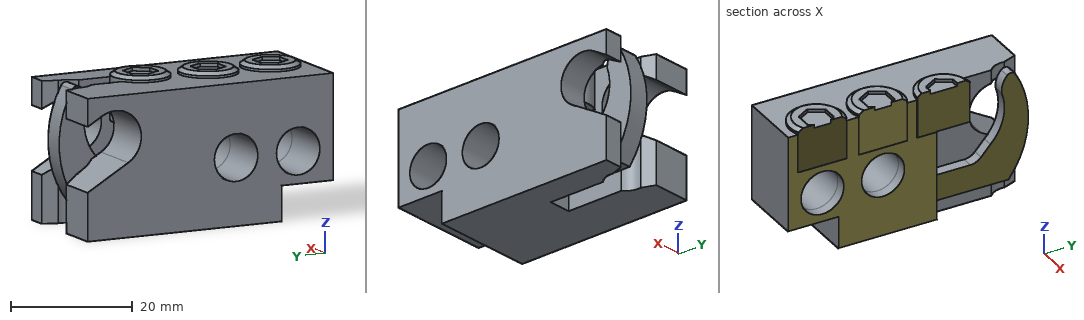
import cadquery as cq
import math


BLOCK_WIDTH = 20.0
BLOCK_LENGTH = 45.45
BLOCK_HEIGHT = 24.0
STEP_LENGTH = 9.5
STEP_HEIGHT = 6.0

FIRST_STATION_Y = 6.5
STATION_PITCH = 11.47
CABLE_BORE_RADIUS = 4.0
CABLE_BORE_Z = 11.5

ROD_RADIUS = 4.8
ROD_Y = 40.3
ROD_Z = 16.7
ROD_SLOT_TILT = 30

JAW_X = 2.0
JAW_SLOT_WIDTH = 4.45
JAW_SLOT_END_Y = 28.25
RELIEF_RADIUS = 3.5
RELIEF_Y = 42.45
MOUTH_WIDTH = 8.85
MOUTH_NECK_Y = 42.9

JAW_WIDTH = 4.0
JAW_BACK_RADIUS = 17.55
JAW_BACK_Y = 45.55
JAW_BACK_Z = 14.52
TIP_RADIUS = 1.0
TIP_Y = 42.2
TIP_EDGE_ANGLE = 42
NOSE_Y = 40.4
NOSE_Z = 20.63
NOSE_BULGE = 0.35
GRIP_RADIUS = 9.9
GRIP_CENTRE_Y = 31.0
GRIP_CENTRE_Z = 18.1
GRIP_END_ANGLE = 42.6
RAMP_LENGTH = 2.6
RAMP_FILLET_RADIUS = 2.8
ARM_BOTTOM_Z = 3.65

SCREW_RADIUS = 5.0
SCREW_LENGTH = 8.2
SCREW_PROTRUSION = 1.0
SCREW_BEVEL_WIDTH = 0.8
SCREW_BEVEL_HEIGHT = 0.6
HEX_ACROSS_FLATS = 5.0
HEX_DEPTH = 0.6

cable_bore_ys = [FIRST_STATION_Y + i * STATION_PITCH for i in range(2)]
jaw_screw_y = FIRST_STATION_Y + 2 * STATION_PITCH
screw_places = [(0, y) for y in cable_bore_ys] + [(JAW_X, jaw_screw_y)]
screw_bottom_z = BLOCK_HEIGHT + SCREW_PROTRUSION - SCREW_LENGTH


def polar(centre, radius, degrees):
    """Point at an angle on a circle, measured from the first axis."""
    angle = math.radians(degrees)
    return centre[0] + radius * math.cos(angle), centre[1] + radius * math.sin(angle)


def cross_profile(offset=0):
    """Sketch plane whose axes are Y and Z, moved along X."""
    return cq.Workplane("YZ", origin=(offset, 0, 0))


def make_block_body():
    """Plain block with a step under one end."""
    return (
        cross_profile()
        .moveTo(0, STEP_HEIGHT)
        .lineTo(STEP_LENGTH, STEP_HEIGHT)
        .lineTo(STEP_LENGTH, 0)
        .lineTo(BLOCK_LENGTH, 0)
        .lineTo(BLOCK_LENGTH, BLOCK_HEIGHT)
        .lineTo(0, BLOCK_HEIGHT)
        .close()
        .extrude(BLOCK_WIDTH / 2, both=True)
    )


def make_cable_bores():
    places = [(y, CABLE_BORE_Z) for y in cable_bore_ys]
    return cross_profile().pushPoints(places).circle(CABLE_BORE_RADIUS).extrude(BLOCK_WIDTH, both=True)


def make_rod_slot():
    """Round-ended slot that runs through the width and out of the +Y face."""
    reach = 2 * (BLOCK_LENGTH - ROD_Y)
    return (
        cross_profile()
        .moveTo(0, ROD_RADIUS)
        .lineTo(reach, ROD_RADIUS)
        .lineTo(reach, -ROD_RADIUS)
        .lineTo(0, -ROD_RADIUS)
        .threePointArc((-ROD_RADIUS, 0), (0, ROD_RADIUS))
        .close()
        .extrude(BLOCK_WIDTH, both=True)
        .rotate((0, 0, 0), (1, 0, 0), -ROD_SLOT_TILT)
        .translate((0, ROD_Y, ROD_Z))
    )


def make_jaw_slot():
    """Narrow slot through the height, with a round relief and a flared mouth."""
    plan = cq.Workplane("XY", origin=(JAW_X, 0, 0))
    slot_length = BLOCK_LENGTH - JAW_SLOT_END_Y
    slot_middle_y = JAW_SLOT_END_Y + slot_length / 2
    slot = plan.center(0, slot_middle_y).rect(JAW_SLOT_WIDTH, slot_length).extrude(BLOCK_HEIGHT)
    relief = plan.center(0, RELIEF_Y).circle(RELIEF_RADIUS).extrude(BLOCK_HEIGHT)
    neck_half_width = math.sqrt(RELIEF_RADIUS**2 - (MOUTH_NECK_Y - RELIEF_Y) ** 2)
    mouth = (
        plan.moveTo(-neck_half_width, MOUTH_NECK_Y)
        .lineTo(neck_half_width, MOUTH_NECK_Y)
        .lineTo(MOUTH_WIDTH / 2, BLOCK_LENGTH)
        .lineTo(-MOUTH_WIDTH / 2, BLOCK_LENGTH)
        .close()
        .extrude(BLOCK_HEIGHT)
    )
    return slot.union(relief).union(mouth)


def make_screw_holes():
    depth = BLOCK_HEIGHT - screw_bottom_z
    base = cq.Workplane("XY", origin=(0, 0, screw_bottom_z))
    return base.pushPoints(screw_places).circle(SCREW_RADIUS).extrude(depth)


def make_block():
    return (
        make_block_body()
        .cut(make_cable_bores())
        .cut(make_rod_slot())
        .cut(make_jaw_slot())
        .cut(make_screw_holes())
    )


def make_jaw():
    """Hooked jaw: convex back, rounded tip, concave grip, and an arm that fills the slot's end."""
    back_centre = (JAW_BACK_Y - JAW_BACK_RADIUS, JAW_BACK_Z)

    tip_angle = math.degrees(math.acos((TIP_Y - back_centre[0]) / (JAW_BACK_RADIUS - TIP_RADIUS)))
    tip_centre = polar(back_centre, JAW_BACK_RADIUS - TIP_RADIUS, tip_angle)
    tip_start = polar(back_centre, JAW_BACK_RADIUS, tip_angle)
    tip_top = polar(tip_centre, TIP_RADIUS, 90)
    tip_edge = polar(tip_centre, TIP_RADIUS, 180 - TIP_EDGE_ANGLE)

    nose = (NOSE_Y, NOSE_Z)
    nose_dy = nose[0] - tip_edge[0]
    nose_dz = nose[1] - tip_edge[1]
    nose_chord = math.hypot(nose_dy, nose_dz)
    nose_middle = (
        (tip_edge[0] + nose[0]) / 2 + NOSE_BULGE * nose_dz / nose_chord,
        (tip_edge[1] + nose[1]) / 2 - NOSE_BULGE * nose_dy / nose_chord,
    )

    grip_centre = (GRIP_CENTRE_Y, GRIP_CENTRE_Z)
    grip_middle = polar(grip_centre, GRIP_RADIUS, 0)
    grip_end = polar(grip_centre, GRIP_RADIUS, -GRIP_END_ANGLE)
    ramp_end = polar(grip_end, RAMP_LENGTH, -GRIP_END_ANGLE - 90)
    fillet_centre = polar(ramp_end, RAMP_FILLET_RADIUS, 180 - GRIP_END_ANGLE)
    fillet_middle = polar(fillet_centre, RAMP_FILLET_RADIUS, -(GRIP_END_ANGLE + 90) / 2)
    arm_start = polar(fillet_centre, RAMP_FILLET_RADIUS, -90)

    heel_drop = ARM_BOTTOM_Z - JAW_BACK_Z
    heel = (back_centre[0] + math.sqrt(JAW_BACK_RADIUS**2 - heel_drop**2), ARM_BOTTOM_Z)

    return (
        cross_profile(JAW_X)
        .moveTo(*heel)
        .threePointArc((JAW_BACK_Y, JAW_BACK_Z), tip_start)
        .threePointArc(tip_top, tip_edge)
        .threePointArc(nose_middle, nose)
        .threePointArc(grip_middle, grip_end)
        .lineTo(*ramp_end)
        .threePointArc(fillet_middle, arm_start)
        .lineTo(JAW_SLOT_END_Y, arm_start[1])
        .lineTo(JAW_SLOT_END_Y, ARM_BOTTOM_Z)
        .close()
        .extrude(JAW_WIDTH / 2, both=True)
    )


def make_screw(x, y):
    """Headless screw with a bevelled rim and a hexagon socket."""
    profile = (
        cq.Workplane("XZ")
        .lineTo(SCREW_RADIUS, 0)
        .lineTo(SCREW_RADIUS, SCREW_LENGTH - SCREW_BEVEL_HEIGHT)
        .lineTo(SCREW_RADIUS - SCREW_BEVEL_WIDTH, SCREW_LENGTH)
        .lineTo(0, SCREW_LENGTH)
        .close()
    )
    shank = profile.revolve(360, (0, 0, 0), (0, 1, 0))
    hex_across_corners = 2 * HEX_ACROSS_FLATS / math.sqrt(3)
    socket = (
        cq.Workplane("XY", origin=(0, 0, SCREW_LENGTH - HEX_DEPTH))
        .polygon(6, hex_across_corners)
        .extrude(HEX_DEPTH)
    )
    return shank.cut(socket).translate((x, y, screw_bottom_z))


block = make_block()
jaw = make_jaw()
screws = [make_screw(x, y) for x, y in screw_places]

result = cq.Compound.makeCompound([block.val(), jaw.val(), *[screw.val() for screw in screws]])